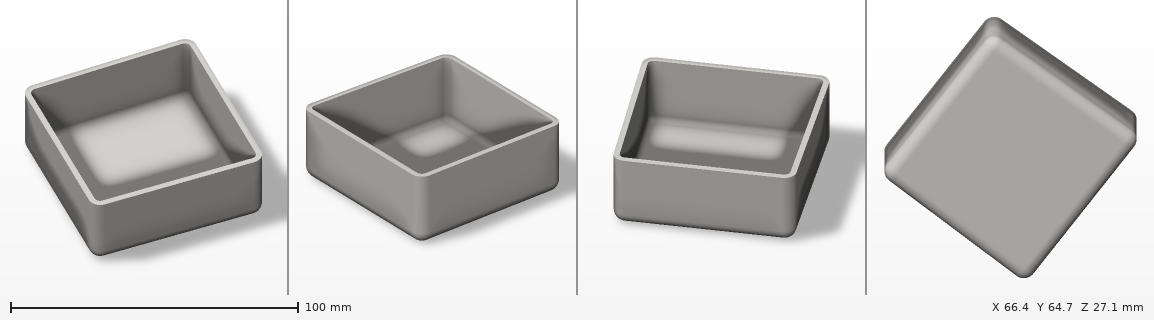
import cadquery as cq

width_back = 66.42
depth = 64.72
height = 27.14

outer_radius = 4.23
wall = 2.12
side_taper = 0.85

centre_y = depth / 2 - outer_radius
centre_x_back = width_back / 2 - outer_radius
centre_x_front = centre_x_back - side_taper


def rounded_tub(offset, bottom_z, top_z):
    """Solid with walls at `offset` from the corner centres, rounded by the same radius."""
    corner_centres = [
        (-centre_x_front, -centre_y),
        (centre_x_front, -centre_y),
        (centre_x_back, centre_y),
        (-centre_x_back, centre_y),
    ]
    blank = (
        cq.Workplane("XY")
        .workplane(offset=bottom_z)
        .polyline(corner_centres)
        .close()
        .offset2D(offset, "intersection")
        .extrude(top_z - bottom_z)
    )
    return blank.edges("not >Z").fillet(offset)


outer_body = rounded_tub(outer_radius, 0, height)
cavity = rounded_tub(outer_radius - wall, wall, height)

result = outer_body.cut(cavity)